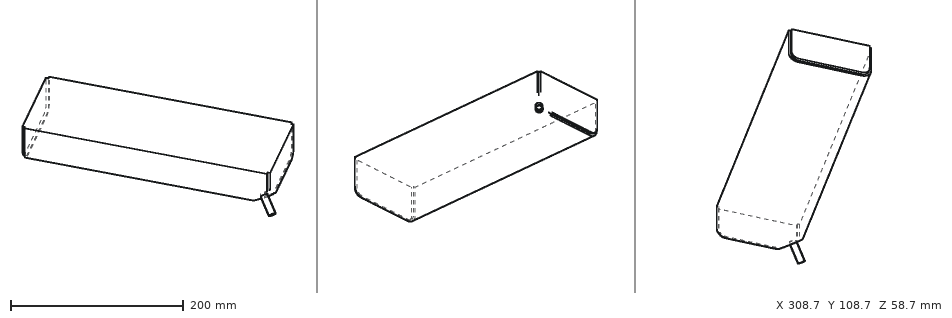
import cadquery as cq

length = 300.0
width = 100.0
height = 50.0

cap_length = 3.0
cap_inset = 2.8
body_length = length - 2 * cap_length
corner_radius = 12.0

diagonal = (1, -1, -1)
corner_cut = 27.8
cut_edge_radius = 3.0

pipe_diameter = 9.0
pipe_bore = 7.5
pipe_reach = 5.0
pipe_length = 27.8

inlay_depth = 1.5
lid_width = 87.5
strip_end_gap = 2.8
strip_length = body_length - 2 * strip_end_gap
strip_width = 14.8
panel_length = 150.0
panel_height = 22.5
panel_center_x = 50.0
panel_top_gap = 5.2


def diagonal_plane(offset):
    """Plane square to the diagonal, moved out from the case corner by offset along X, Y and Z."""
    origin = (length / 2 + offset, -width / 2 - offset, -offset)
    return cq.Plane(origin=origin, normal=diagonal)


def trough(size_x, inset):
    """Flat-topped block with rounded lower long edges and a rounded corner cut."""
    size = (size_x, width - 2 * inset, height - inset)
    block = cq.Workplane("XY").box(*size, centered=(True, True, False)).translate((0, 0, inset))
    block = block.edges("|X and <Z").fillet(corner_radius - inset)
    cutter = cq.Workplane(diagonal_plane(-corner_cut / 3)).rect(length, length).extrude(length)
    outward = cq.selectors.DirectionMinMaxSelector(cq.Vector(*diagonal))
    return block.cut(cutter).faces(outward).edges().fillet(cut_edge_radius)


def diagonal_rod(diameter):
    """Round rod from the pipe mouth back into the case."""
    return cq.Workplane(diagonal_plane(pipe_reach)).circle(diameter / 2).extrude(-pipe_length)


def set_inlay(part, inlay):
    """Set a block flush into the part; without merging, its outline stays as an edge."""
    return part.cut(inlay, clean=False).union(inlay, clean=False)


def top_inlay(size_x, size_y):
    """Block lying flush with the top face, centred on the case."""
    block = cq.Workplane("XY").box(size_x, size_y, inlay_depth, centered=(True, True, False))
    return block.translate((0, 0, height - inlay_depth))


def front_panel():
    """Block lying flush with the front side."""
    block = cq.Workplane("XY").box(panel_length, inlay_depth, panel_height, centered=(True, False, False))
    return block.translate((panel_center_x, -width / 2, height - panel_top_gap - panel_height))


case = trough(body_length, 0).union(trough(length, cap_inset))
case = case.union(diagonal_rod(pipe_diameter)).cut(diagonal_rod(pipe_bore))

case = set_inlay(case, top_inlay(body_length, lid_width))
case = set_inlay(case, top_inlay(strip_length, strip_width))
result = set_inlay(case, front_panel())